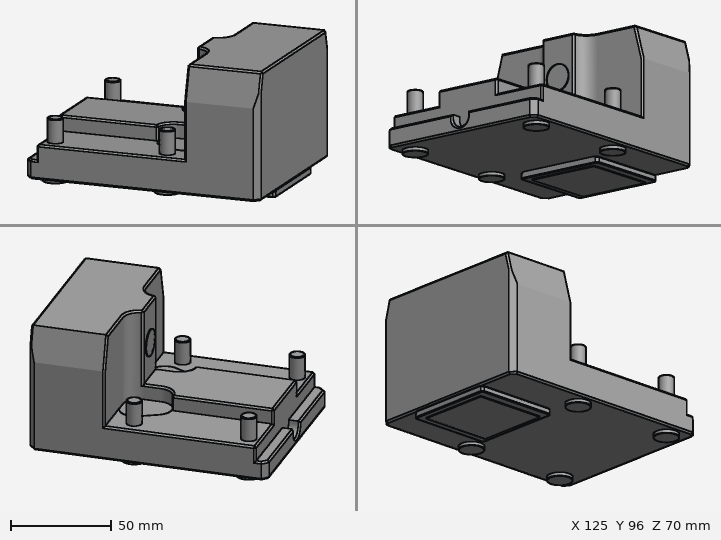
import cadquery as cq
import math

length = 125.0
width = 96.0
height = 66.0
half_width = width / 2
bevel = 1.0
corner_cut = 3.0

ledge_depth = 6.0
ledge_top = 10.0
deck_top = 18.0
rail_top = 26.0
rail_half_width = 19.0
wall_x = 85.0
shoulder_top = 48.0
shoulder_angle = 15.0
shoulder_inset = (height - shoulder_top) * math.tan(math.radians(shoulder_angle))

relief_radius = 8.2
relief_inner_y = 10.2
relief_center_y = relief_inner_y + relief_radius
relief_rear_x = wall_x - relief_radius
relief_front_x = 67.8
rail_end_x = relief_front_x - math.sqrt(relief_radius**2 - (rail_half_width - relief_center_y) ** 2)
nose_x = 77.0

recess_depth = 0.1
recess_flare_y = 23.2

notch_radius = 5.0
notch_center_z = 8.0

button_diameter = 14.0
button_height = 0.5
button_z = 44.5

pin_diameter = 8.0
pin_top = 30.5
pin_bevel = 0.5
pin_front_x = 12.5
pin_pitch_x = 60.0
pin_pitch_y = 78.0
foot_diameter = 13.0
foot_height = 2.0
foot_bevel = 0.2

plate_length = 47.0
plate_width = 50.0
plate_height = 3.5
plate_corner_cut = 1.2
plate_bevel = 0.5
plate_top_bevel = 0.6
pad_size = 40.0
pad_height = 0.5
plate_center_x = 101.0

overcut = 1.2
tolerance = 0.01
any_x = (-overcut, length + overcut)
any_y = (-half_width - overcut, half_width + overcut)


def box(x_range, y_range, z_range):
    """Box given by its lower and upper limits on each axis."""
    size = [high - low for low, high in (x_range, y_range, z_range)]
    corner = (x_range[0], y_range[0], z_range[0])
    return cq.Workplane("XY").box(*size, centered=False).translate(corner)


def edges_centered_in(part, *regions):
    """Edges whose middle lies in at least one of the (x_range, y_range, z_range) regions."""
    picked = []
    for region in regions:
        low, high = zip(*region)
        picked += part.edges(cq.selectors.BoxSelector(low, high)).vals()
    return part.newObject(picked)


def near(value):
    """Narrow range around one coordinate."""
    return (value - tolerance, value + tolerance)


def both_sides(shape):
    return shape.union(shape.mirror("XZ"))


def make_block():
    """Full-height prism with sloped shoulders and bevelled rear edges."""
    top_half_width = half_width - shoulder_inset
    outline = [
        (-half_width, 0),
        (half_width, 0),
        (half_width, shoulder_top),
        (top_half_width, height),
        (-top_half_width, height),
        (-half_width, shoulder_top),
    ]
    block = cq.Workplane("YZ").polyline(outline).close().extrude(length)
    rear_edges = edges_centered_in(block, (near(length), any_y, (shoulder_top, height + tolerance)))
    block = rear_edges.chamfer(bevel)
    footprint = (
        cq.Workplane("XY")
        .rect(length, width)
        .extrude(height)
        .edges("|Z")
        .chamfer(corner_cut)
        .translate((length / 2, 0, 0))
    )
    return block.intersect(footprint)


def make_deck_cut():
    """Space above one side deck, with the rounded relief beside the rail."""
    diagonal = relief_radius * math.sqrt(0.5)
    return (
        cq.Workplane("XY", origin=(0, 0, deck_top))
        .moveTo(-overcut, rail_half_width)
        .lineTo(rail_end_x, rail_half_width)
        .threePointArc(
            (relief_front_x - diagonal, relief_center_y - diagonal),
            (relief_front_x, relief_inner_y),
        )
        .lineTo(relief_rear_x, relief_inner_y)
        .threePointArc(
            (relief_rear_x + diagonal, relief_center_y - diagonal),
            (wall_x, relief_center_y),
        )
        .lineTo(wall_x, half_width + overcut)
        .lineTo(-overcut, half_width + overcut)
        .close()
        .extrude(height)
    )


def make_deck_recess():
    """Shallow recess with a rounded three-cornered outline that follows the relief pocket."""
    corners = [
        (relief_front_x, relief_center_y),
        (relief_rear_x, relief_center_y),
        (relief_rear_x, recess_flare_y),
    ]
    floor = cq.Workplane("XY", origin=(0, 0, deck_top - recess_depth))
    recess = floor.polyline(corners).close().extrude(recess_depth)
    for (x1, y1), (x2, y2) in zip(corners, corners[1:] + corners[:1]):
        capsule_length = math.hypot(x2 - x1, y2 - y1) + 2 * relief_radius
        capsule_angle = math.degrees(math.atan2(y2 - y1, x2 - x1))
        capsule = (
            floor.center((x1 + x2) / 2, (y1 + y2) / 2)
            .slot2D(capsule_length, 2 * relief_radius, capsule_angle)
            .extrude(recess_depth)
        )
        recess = recess.union(capsule)
    return recess


def make_notch():
    """Half-round slot through the ledge, open at the top."""
    slot = box((-overcut, ledge_depth), (-notch_radius, notch_radius), (notch_center_z, ledge_top + overcut))
    round_bottom = (
        cq.Workplane("YZ", origin=(-overcut, 0, notch_center_z))
        .circle(notch_radius)
        .extrude(ledge_depth + overcut)
    )
    return slot.union(round_bottom)


def make_nose_bevel():
    """Wedge that breaks one upright corner of the nose above the rail."""
    corner = [
        (nose_x, relief_inner_y - bevel),
        (nose_x + 2 * bevel, relief_inner_y + bevel),
        (nose_x, relief_inner_y + bevel),
    ]
    bottom = rail_top - bevel
    return cq.Workplane("XY", origin=(0, 0, bottom)).polyline(corner).close().extrude(height)


def bevel_body(body):
    """Break the outer edges of the stepped body; the +Y top shoulder edge stays sharp."""
    side = (half_width - corner_cut, half_width + tolerance)
    other_side = (-side[1], -side[0])
    outline_x = (0, wall_x + tolerance)
    above_ledge = (ledge_top - tolerance, height - tolerance)
    ledge_front_y = (corner_cut - half_width + tolerance, half_width - corner_cut - tolerance)
    top_y = (-half_width, half_width - shoulder_inset - tolerance)
    edges = edges_centered_in(
        body,
        (any_x, any_y, near(0)),
        (outline_x, side, above_ledge),
        (outline_x, other_side, above_ledge),
        (near(0), ledge_front_y, (tolerance, ledge_top + tolerance)),
        (near(ledge_depth), any_y, (deck_top - tolerance, rail_top - tolerance)),
        ((0, nose_x - tolerance), any_y, near(rail_top)),
        (near(rail_end_x), any_y, (deck_top + tolerance, rail_top - tolerance)),
        ((0, length - bevel - tolerance), top_y, near(height)),
    )
    return edges.chamfer(bevel)


def make_body():
    """Ledge, decks, rail and rear block with all their bevels."""
    body = make_block()
    body = body.cut(box((-overcut, ledge_depth), any_y, (ledge_top, height + overcut)))
    body = body.cut(box((-overcut, nose_x), any_y, (rail_top, height + overcut)))
    body = body.cut(both_sides(make_deck_cut()))
    body = body.cut(make_notch())
    body = bevel_body(body)
    body = body.cut(both_sides(make_nose_bevel()))
    return body.cut(both_sides(make_deck_recess()))


def make_button():
    return (
        cq.Workplane("YZ", origin=(nose_x - button_height, 0, button_z))
        .circle(button_diameter / 2)
        .extrude(button_height + overcut)
    )


def make_pins():
    """Four upright pins on the decks, each with a round foot under the body."""
    pin = cq.Workplane("XY").circle(pin_diameter / 2).extrude(pin_top).faces(">Z").chamfer(pin_bevel)
    foot = (
        cq.Workplane("XY", origin=(0, 0, -foot_height))
        .circle(foot_diameter / 2)
        .extrude(foot_height + overcut)
        .faces("<Z")
        .chamfer(foot_bevel)
    )
    center_x = pin_front_x + pin_pitch_x / 2
    pin_places = cq.Workplane("XY", origin=(center_x, 0, 0)).rarray(pin_pitch_x, pin_pitch_y, 2, 2)
    pin_with_foot = pin.union(foot).val()
    return pin_places.eachpoint(lambda place: pin_with_foot.moved(place), combine=False)


def make_bottom_plate():
    """Bevelled plate with a slightly raised square pad."""
    plate = (
        cq.Workplane("XY", origin=(plate_center_x, 0, -plate_height))
        .rect(plate_length, plate_width)
        .extrude(plate_height)
        .edges("|Z")
        .chamfer(plate_corner_cut)
        .faces(">Z")
        .edges("not |Y")
        .chamfer(plate_top_bevel)
        .faces("<Z")
        .chamfer(plate_bevel)
    )
    pad = (
        cq.Workplane("XY", origin=(plate_center_x, 0, -plate_height - pad_height))
        .rect(pad_size, pad_size)
        .extrude(pad_height)
    )
    return plate.union(pad)


result = make_body()
for detail in (make_button(), make_pins(), make_bottom_plate()):
    result = result.union(detail)